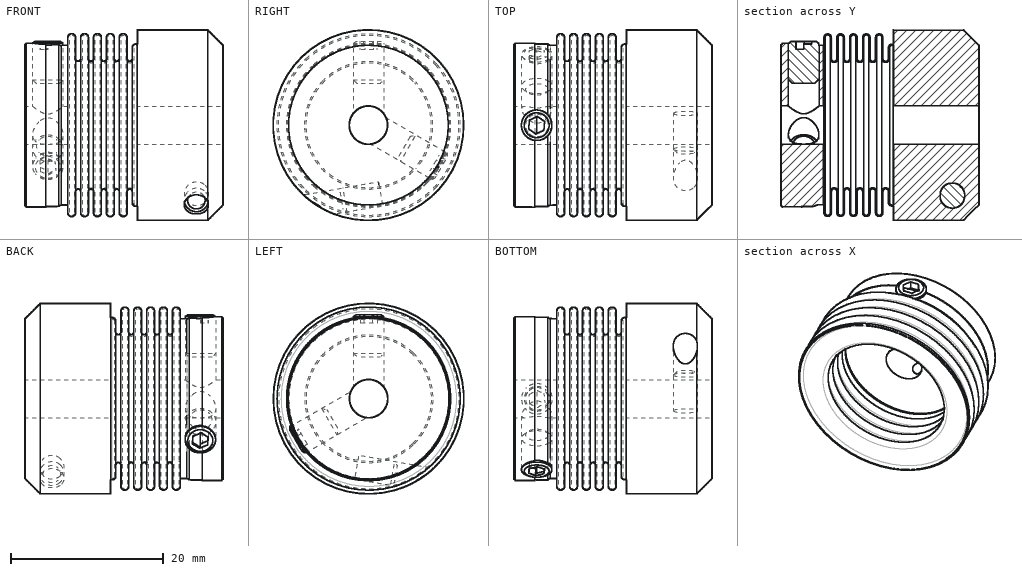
import cadquery as cq
import math

LENGTH = 26.0
BORE_R = 2.5

HUB_R = 10.76
HUB_CHAMFER = 0.2
BAND_R = 10.69
BAND_START = 2.75
BAND_END = 4.45
NECK_R = 10.5
NECK_START = 4.75
HUB_END = 5.62

CREST_COUNT = 5
CREST_TIP_R = 12.0
ROOT_R = 8.4
PITCH = 1.7
CREST_ARC_R = 0.52
ROOT_ARC_R = PITCH / 2 - CREST_ARC_R
WALL = CREST_ARC_R - ROOT_ARC_R
FIRST_CREST_X = HUB_END + CREST_ARC_R
CREST_CENTRE_R = CREST_TIP_R - CREST_ARC_R
ROOT_CENTRE_R = ROOT_R + ROOT_ARC_R
INNER_R = ROOT_R - WALL
COLLAR_R = 10.65
COLLAR_CENTRE_R = COLLAR_R - CREST_ARC_R
COLLAR_X = FIRST_CREST_X + CREST_COUNT * PITCH

CLAMP_R = 12.5
CLAMP_START = 14.75
CLAMP_CHAMFER = 2.03

SET_X = 3.0
SET_R = 2.0
SET_TOP = 11.0
SET_TIP = 5.45
SET_HEAD_BEVEL_HEIGHT = 0.23
SET_HEAD_BEVEL_WIDTH = 0.36
SET_TIP_CHAMFER = 0.52
SOCKET_FLATS = 2.0
SOCKET_TURN = -5.0
SOCKET_DEPTH = 1.05
SOCKET_STEP_DEPTH = 0.35
SET_ANGLES = (0, -120)

CLAMP_SCREW_X = 22.5
CLAMP_SCREW_R = 1.59
CLAMP_SCREW_OFFSET = 9.1
CLAMP_SCREW_TILT = 10.0
CLAMP_SCREW_CHAMFER = 0.45
CLAMP_SCREW_LENGTH = 5.2


def spin(profile):
    """Revolve an X-radius outline drawn on the XY plane about the X axis."""
    return profile.close().revolve(360, (0, 0, 0), (1, 0, 0))


def rod(radius, start, end):
    """Cylinder on the Z axis between two heights."""
    return cq.Workplane("XY").workplane(offset=start).circle(radius).extrude(end - start)


def aim_set_screw(shape, angle):
    """Move a shape from the Z axis to a set screw place on the plain hub."""
    return shape.translate((SET_X, 0, 0)).rotate((0, 0, 0), (1, 0, 0), angle)


def aim_clamp_screw(shape):
    """Turn a shape from the Z axis onto the tilted clamp screw axis, pointing to -Y."""
    shape = shape.rotate((0, 0, 0), (1, 0, 0), 90)
    shape = shape.translate((CLAMP_SCREW_X, 0, -CLAMP_SCREW_OFFSET))
    return shape.rotate((0, 0, 0), (1, 0, 0), CLAMP_SCREW_TILT)


def make_plain_hub():
    hub = spin(
        cq.Workplane("XY")
        .moveTo(0, BORE_R)
        .lineTo(HUB_END, BORE_R)
        .lineTo(HUB_END, NECK_R)
        .lineTo(NECK_START, NECK_R)
        .tangentArcPoint((BAND_END, BAND_R), relative=False)
        .lineTo(BAND_START, BAND_R)
        .lineTo(BAND_START, HUB_R)
        .lineTo(HUB_CHAMFER, HUB_R)
        .lineTo(0, HUB_R - HUB_CHAMFER)
    )
    for angle in SET_ANGLES:
        hub = hub.cut(aim_set_screw(rod(SET_R, 0, CLAMP_R), angle))
    return hub


def bellows_body(crest_arc_r, root_arc_r, left_x):
    """Solid of revolution bounded by one side of the bellows wall."""
    side = math.sqrt(0.5)
    outline = cq.Workplane("XY").moveTo(left_x, 0).lineTo(left_x, CREST_CENTRE_R)
    for index in range(CREST_COUNT):
        crest_x = FIRST_CREST_X + index * PITCH
        root_x = crest_x + PITCH / 2
        is_last = index == CREST_COUNT - 1
        next_centre_r = COLLAR_CENTRE_R if is_last else CREST_CENTRE_R
        outline = (
            outline
            .threePointArc(
                (crest_x, CREST_CENTRE_R + crest_arc_r),
                (crest_x + crest_arc_r, CREST_CENTRE_R),
            )
            .lineTo(root_x - root_arc_r, ROOT_CENTRE_R)
            .threePointArc(
                (root_x, ROOT_CENTRE_R - root_arc_r),
                (root_x + root_arc_r, ROOT_CENTRE_R),
            )
            .lineTo(root_x + root_arc_r, next_centre_r)
        )
    outline = (
        outline
        .threePointArc(
            (COLLAR_X - crest_arc_r * side, COLLAR_CENTRE_R + crest_arc_r * side),
            (COLLAR_X, COLLAR_CENTRE_R + crest_arc_r),
        )
        .lineTo(CLAMP_START, COLLAR_CENTRE_R + crest_arc_r)
        .lineTo(CLAMP_START, 0)
    )
    return spin(outline)


def make_bellows():
    outside = bellows_body(CREST_ARC_R, ROOT_ARC_R, HUB_END)
    hollow = bellows_body(ROOT_ARC_R, CREST_ARC_R, HUB_END + WALL)
    opening = cq.Workplane("YZ").workplane(offset=HUB_END).circle(INNER_R).extrude(WALL * 2)
    return outside.cut(hollow).cut(opening)


def make_clamp_hub():
    hub = spin(
        cq.Workplane("XY")
        .moveTo(CLAMP_START, BORE_R)
        .lineTo(CLAMP_START, CLAMP_R)
        .lineTo(LENGTH - CLAMP_CHAMFER, CLAMP_R)
        .lineTo(LENGTH, CLAMP_R - CLAMP_CHAMFER)
        .lineTo(LENGTH, BORE_R)
    )
    pocket = rod(CLAMP_SCREW_R, 0, CLAMP_R)
    return hub.cut(aim_clamp_screw(pocket))


def make_set_screw(angle):
    screw = (
        cq.Workplane("XZ")
        .moveTo(0, SET_TIP)
        .lineTo(SET_R - SET_TIP_CHAMFER, SET_TIP)
        .lineTo(SET_R, SET_TIP + SET_TIP_CHAMFER)
        .lineTo(SET_R, SET_TOP - SET_HEAD_BEVEL_HEIGHT)
        .lineTo(SET_R - SET_HEAD_BEVEL_WIDTH, SET_TOP)
        .lineTo(0, SET_TOP)
        .close()
        .revolve(360, (0, 0, 0), (0, 1, 0))
    )
    socket = (
        cq.Workplane("XY")
        .workplane(offset=SET_TOP - SOCKET_DEPTH)
        .polygon(6, SOCKET_FLATS, circumscribed=True)
        .extrude(SOCKET_DEPTH)
        .rotate((0, 0, 0), (0, 0, 1), SOCKET_TURN)
    )
    step_top = SET_TOP - SOCKET_STEP_DEPTH
    floor_step = cq.Workplane("XY").box(SET_R, 2 * SET_R, step_top, centered=(False, True, False))
    socket = socket.cut(floor_step)
    return aim_set_screw(screw.cut(socket), angle)


def make_clamp_screw():
    screw = rod(CLAMP_SCREW_R, 0, CLAMP_SCREW_LENGTH)
    return aim_clamp_screw(screw.faces(">Z").chamfer(CLAMP_SCREW_CHAMFER))


plain_hub = make_plain_hub()
bellows = make_bellows()
clamp_hub = make_clamp_hub()
set_screws = [make_set_screw(angle) for angle in SET_ANGLES]
clamp_screw = make_clamp_screw()

result = cq.Compound.makeCompound([
    plain_hub.val(),
    bellows.val(),
    clamp_hub.val(),
    *[screw.val() for screw in set_screws],
    clamp_screw.val(),
])